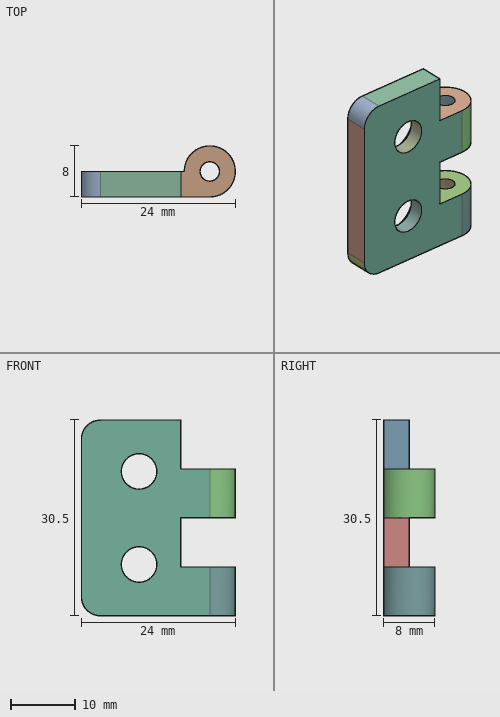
import cadquery as cq

height = 30.5
thickness = 4.0
leaf_width = 15.5
corner_radius = 3.0

knuckle_radius = thickness
pin_diameter = 3.0
total_width = 24.0
pin_x = total_width - knuckle_radius
knuckle_length = height / 4
knuckle_bottoms = (0, height / 2)

screw_diameter = 5.5
screw_x = 9.0
screw_spacing = 14.5

countersink_depth = 1.5
countersink_angle = 90
countersink_diameter = screw_diameter + 2 * countersink_depth


def make_leaf():
    """Flat plate with its two outer corners rounded."""
    plate = cq.Workplane("XY").box(leaf_width, thickness, height, centered=False)
    return plate.edges("<X and |Y").fillet(corner_radius)


def make_knuckle(bottom):
    """Barrel with a flat web joining it to the leaf, bored for the pin."""
    base = cq.Workplane("XY").workplane(offset=bottom)
    web_length = pin_x - leaf_width
    web = base.center(leaf_width, 0).rect(web_length, thickness, centered=False).extrude(knuckle_length)
    barrel = base.center(pin_x, thickness).circle(knuckle_radius).extrude(knuckle_length)
    bore = base.center(pin_x, thickness).circle(pin_diameter / 2).extrude(knuckle_length)
    return web.union(barrel).cut(bore)


result = make_leaf()
for bottom in knuckle_bottoms:
    result = result.union(make_knuckle(bottom))

screw_positions = [(0, side * screw_spacing / 2) for side in (-1, 1)]
back_face_origin = (screw_x, thickness, height / 2)
result = (
    result.copyWorkplane(cq.Workplane("XZ", origin=back_face_origin))
    .transformed(rotate=(0, 180, 0))
    .pushPoints(screw_positions)
    .cskHole(screw_diameter, countersink_diameter, countersink_angle)
)